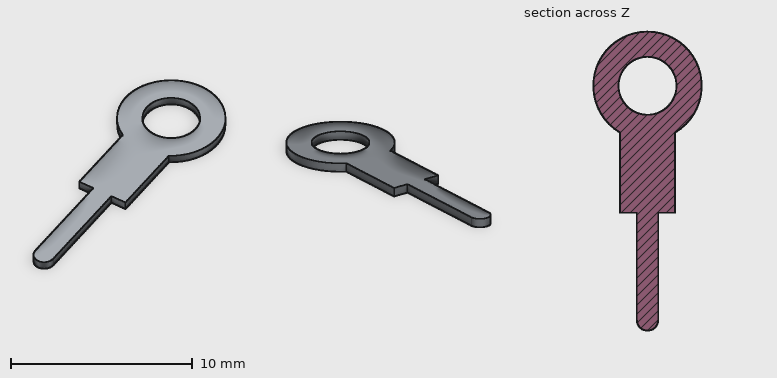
import cadquery as cq

length = 16.48
thickness = 0.51

ring_diameter = 5.98
hole_diameter = 3.18

neck_width = 3.03
neck_end_from_top = 9.99
pin_width = 1.19

ring_radius = ring_diameter / 2
tip_radius = pin_width / 2
neck_end_y = ring_radius - neck_end_from_top
tip_centre_y = ring_radius - length + tip_radius


def disc(diameter, centre_y=0):
    """Flat disc on the Y axis."""
    return cq.Workplane("XY").center(0, centre_y).circle(diameter / 2).extrude(thickness)


def strip(width, end_y):
    """Flat bar centred on X, from the ring centre down to end_y."""
    return cq.Workplane("XY").center(0, end_y / 2).rect(width, -end_y).extrude(thickness)


ring = disc(ring_diameter)
neck = strip(neck_width, neck_end_y)
pin = strip(pin_width, tip_centre_y).union(disc(pin_width, tip_centre_y))
hole = disc(hole_diameter)

result = ring.union(neck).union(pin).cut(hole)